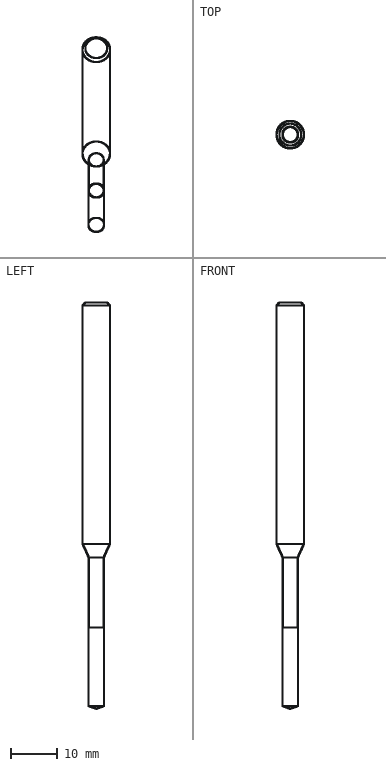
import cadquery as cq
import math

total_length = 87.6
cutting_length = 17.5
neck_top = 32.6
shank_bottom = 35.6

shank_diameter = 6.0
cutting_diameter = 3.4
neck_diameter = 3.2

point_angle = 140.0
chamfer_height = 0.7
chamfer_width = 0.6

shank_radius = shank_diameter / 2
cutting_radius = cutting_diameter / 2
neck_radius = neck_diameter / 2
point_height = cutting_radius / math.tan(math.radians(point_angle / 2))


def revolve_profile(points):
    """Turn a closed (radius, height) outline around the Z axis."""
    return cq.Workplane("XZ").polyline(points).close().revolve(360, (0, 0), (0, 1))


def make_cutting_part():
    """Cylindrical cutting end with a conical point."""
    return revolve_profile([
        (0, 0),
        (cutting_radius, point_height),
        (cutting_radius, cutting_length),
        (0, cutting_length),
    ])


def make_shank():
    """Neck, conical shoulder and gripping shank with a chamfered end."""
    return revolve_profile([
        (0, cutting_length),
        (neck_radius, cutting_length),
        (neck_radius, neck_top),
        (shank_radius, shank_bottom),
        (shank_radius, total_length - chamfer_height),
        (shank_radius - chamfer_width, total_length),
        (0, total_length),
    ])


cutting_part = make_cutting_part()
shank = make_shank()

result = cq.Compound.makeCompound([cutting_part.val(), shank.val()])